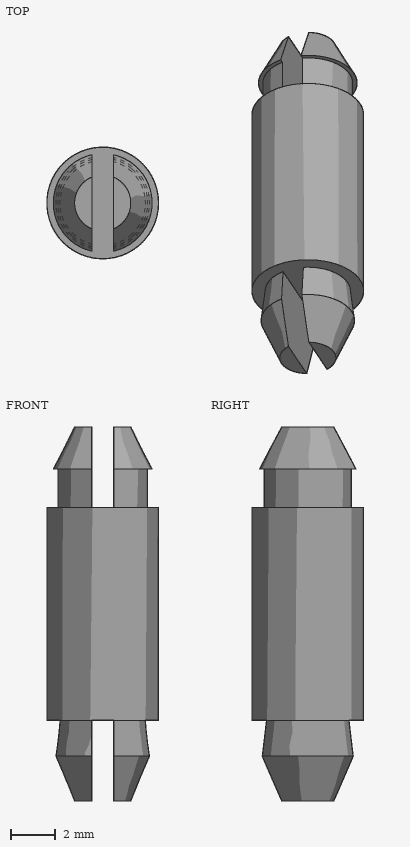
import cadquery as cq

total_height = 16.7
body_height = 9.5
body_diameter = 5.0
body_radius = body_diameter / 2
body_bottom = (total_height - body_height) / 2
body_top = body_bottom + body_height

tip_radius = 1.25
slot_width = 0.97

neck_radius = 2.0
head_radius = 2.2
head_height = 1.89
head_bottom = total_height - head_height

root_radius = 1.9
shoulder_radius = 2.09
shoulder_height = 2.0


def revolved_pin():
    """Revolve the half profile of the body and both snap ends."""
    profile = [
        (0, 0),
        (tip_radius, 0),
        (shoulder_radius, shoulder_height),
        (root_radius, body_bottom),
        (body_radius, body_bottom),
        (body_radius, body_top),
        (neck_radius, body_top),
        (neck_radius, head_bottom),
        (head_radius, head_bottom),
        (tip_radius, total_height),
        (0, total_height),
    ]
    return cq.Workplane("XZ").polyline(profile).close().revolve(360, (0, 0), (0, 1))


def end_slot(bottom, top):
    """Cutter for a slot that splits a snap end along Y."""
    return (
        cq.Workplane("XY")
        .workplane(offset=bottom)
        .rect(slot_width, body_diameter)
        .extrude(top - bottom)
    )


result = revolved_pin()
for slot_bottom, slot_top in [(0, body_bottom), (body_top, total_height)]:
    result = result.cut(end_slot(slot_bottom, slot_top))